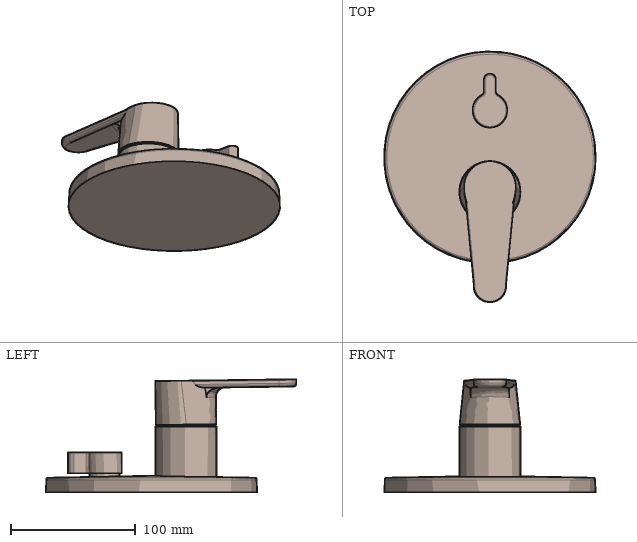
import cadquery as cq
import math

plate_radius = 85.0
plate_rim_radius = 84.4
plate_rim_height = 11.9
plate_apex_height = 13.5
plate_edge_round = 1.6

column_y = -27.8
column_radius = 24.5
column_top = 53.8
column_chamfer = 1.2

handle_bottom = 54.5
handle_bottom_radius = 24.4
handle_top = 89.8
handle_tilt = 0.75
head_radius = 20.7
head_y = column_y + handle_bottom_radius - head_radius
tip_radius = 13.0
lever_end_y = -116.8
tip_y = lever_end_y + tip_radius
lever_thickness = 6.0
lever_bottom = handle_top - lever_thickness
lever_top_round = 0.8
lever_bottom_round = 3.0
blend_radius = 7.0
selection_margin = 0.2
spigot_radius = column_radius - column_chamfer
spigot_overlap = 1.6

knob_y = 37.7
knob_radius = 13.9
knob_bottom = 15.3
knob_top = 32.5
knob_edge_round = 1.0
knob_neck_radius = 12.0
pointer_radius = 4.8
pointer_end_y = 67.0
pointer_root_round = 3.0


def make_plate():
    plate = (
        cq.Workplane("XZ")
        .polyline([
            (0, 0),
            (plate_radius, 0),
            (plate_rim_radius, plate_rim_height),
            (0, plate_apex_height),
        ])
        .close()
        .revolve(360, (0, 0, 0), (0, 1, 0))
    )
    rim = cq.selectors.BoxSelector(
        (-plate_radius, -plate_radius, plate_rim_height - plate_edge_round),
        (plate_radius, plate_radius, plate_rim_height + plate_edge_round),
        boundingbox=True,
    )
    return plate.edges("%CIRCLE").edges(rim).fillet(plate_edge_round)


def make_column():
    column = (
        cq.Workplane("XY")
        .center(0, column_y)
        .circle(column_radius)
        .extrude(column_top)
        .faces(">Z")
        .edges()
        .chamfer(column_chamfer)
    )
    spigot = (
        cq.Workplane("XY", origin=(0, column_y, column_top - spigot_overlap))
        .circle(spigot_radius)
        .extrude(2 * spigot_overlap)
    )
    return column.union(spigot)


def make_handle_body():
    """Blend a round base into a narrower oval that matches the lever head."""
    back_y = column_y + handle_bottom_radius
    front_length = head_y - (column_y - handle_bottom_radius)
    base = (
        cq.Workplane("XY", origin=(0, 0, handle_bottom))
        .moveTo(handle_bottom_radius, column_y)
        .threePointArc((0, back_y), (-handle_bottom_radius, column_y))
        .threePointArc((0, column_y - handle_bottom_radius), (handle_bottom_radius, column_y))
        .close()
    )
    return (
        base.workplane(offset=handle_top - handle_bottom)
        .moveTo(head_radius, head_y)
        .threePointArc((0, back_y), (-head_radius, head_y))
        .ellipseArc(head_radius, front_length, 180, 360, startAtCurrent=True)
        .close()
        .loft(ruled=True, combine=True)
    )


def make_lever_slab(inset):
    """Flat lever blank: two arcs joined by their common tangents, drawn in by the inset."""
    tangent_sine = (head_radius - tip_radius) / (head_y - tip_y)
    tangent_cosine = math.sqrt(1 - tangent_sine**2)
    head_arc = head_radius - inset
    tip_arc = tip_radius - inset
    head_x = head_arc * tangent_cosine
    head_tangent_y = head_y + head_arc * tangent_sine
    tip_x = tip_arc * tangent_cosine
    tip_tangent_y = tip_y + tip_arc * tangent_sine
    return (
        cq.Workplane("XY", origin=(0, 0, lever_bottom))
        .moveTo(head_x, head_tangent_y)
        .threePointArc((0, head_y + head_arc), (-head_x, head_tangent_y))
        .lineTo(-tip_x, tip_tangent_y)
        .threePointArc((0, tip_y - tip_arc), (tip_x, tip_tangent_y))
        .close()
        .extrude(lever_thickness)
    )


def make_lever():
    lever = make_lever_slab(0).faces("<Z").edges().fillet(lever_bottom_round)
    return lever.faces(">Z").edges().fillet(lever_top_round)


def make_handle():
    handle = make_handle_body().union(make_lever_slab(lever_bottom_round))
    blend_zone = cq.selectors.BoxSelector(
        (-head_radius, column_y - column_radius, lever_bottom - selection_margin),
        (head_radius, head_y, lever_bottom + selection_margin),
        boundingbox=True,
    )
    handle = handle.edges(blend_zone).fillet(blend_radius)
    handle = handle.union(make_lever())
    return handle.rotate(
        (0, column_y, handle_bottom), (1, column_y, handle_bottom), -handle_tilt
    )


def make_knob():
    height = knob_top - knob_bottom
    pointer_length = pointer_end_y - pointer_radius - knob_y
    knob = cq.Workplane("XY", origin=(0, knob_y, knob_bottom)).circle(knob_radius).extrude(height)
    pointer_bar = (
        cq.Workplane("XY", origin=(0, knob_y + pointer_length / 2, knob_bottom))
        .rect(2 * pointer_radius, pointer_length)
        .extrude(height)
    )
    pointer_tip = (
        cq.Workplane("XY", origin=(0, knob_y + pointer_length, knob_bottom))
        .circle(pointer_radius)
        .extrude(height)
    )
    root_y = knob_y + math.sqrt(knob_radius**2 - pointer_radius**2)
    root_zone = cq.selectors.BoxSelector(
        (-knob_radius, root_y - pointer_root_round, knob_bottom),
        (knob_radius, root_y + pointer_root_round, knob_top),
    )
    knob = knob.union(pointer_bar).union(pointer_tip)
    knob = knob.edges("|Z").edges(root_zone).fillet(pointer_root_round)
    knob = knob.faces(">Z").edges().fillet(knob_edge_round)
    neck = (
        cq.Workplane("XY")
        .center(0, knob_y)
        .circle(knob_neck_radius)
        .extrude(knob_top - knob_edge_round)
    )
    return knob.union(neck)


result = make_plate().union(make_column()).union(make_handle()).union(make_knob())